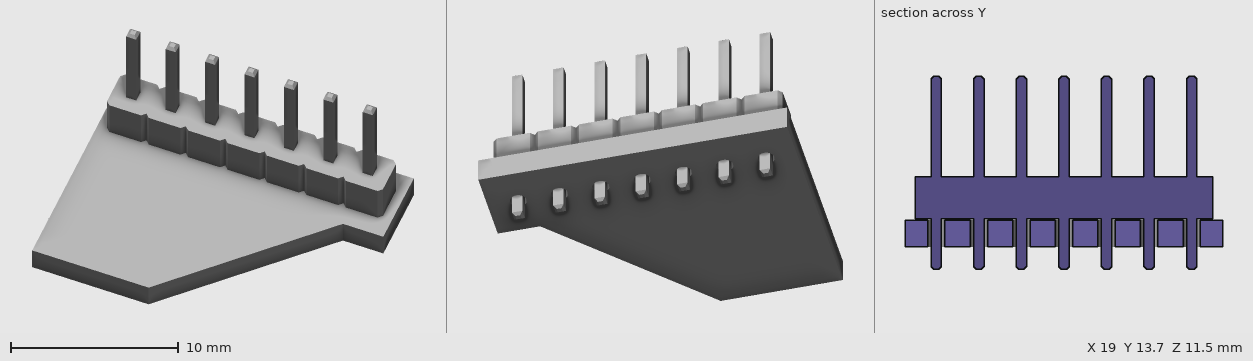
import cadquery as cq

board_length = 19.0
board_width = 13.7
board_thickness = 1.6
board_front_length = 7.5
board_right_width = 4.8
pin_hole_diameter = 1.0

pin_count = 7
header_length = 17.78
pitch = header_length / pin_count
header_height = 2.55
cell_chamfer = 0.25
header_gap = 0.05
header_back_offset = 2.35
pin_side = 0.65
pin_above = 5.98
pin_below = 3.0
pin_tip_chamfer = 0.17

row_y = board_width - header_back_offset
header_bottom = board_thickness + header_gap
pin_bottom = header_bottom - pin_below
pin_length = pin_below + header_height + pin_above
pin_points = [((i - (pin_count - 1) / 2) * pitch, row_y) for i in range(pin_count)]


def make_board():
    """Plate with the sloped corner and a row of round pin holes."""
    left = -board_length / 2
    right = board_length / 2
    front_end = left + board_front_length
    slope_end_y = board_width - board_right_width
    slope_end_x = front_end + slope_end_y

    outline = [
        (left, 0),
        (front_end, 0),
        (slope_end_x, slope_end_y),
        (right, slope_end_y),
        (right, board_width),
        (left, board_width),
    ]
    plate = cq.Workplane("XY").polyline(outline).close().extrude(board_thickness)
    holes = (
        cq.Workplane("XY")
        .pushPoints(pin_points)
        .circle(pin_hole_diameter / 2)
        .extrude(board_thickness)
    )
    return plate.cut(holes)


def make_cell(x, y):
    """Square plastic block with chamfered vertical edges."""
    return (
        cq.Workplane("XY", origin=(x, y, header_bottom))
        .rect(pitch, pitch)
        .extrude(header_height)
        .edges("|Z")
        .chamfer(cell_chamfer)
    )


def make_pin(x, y):
    """Square pin with a chamfered tip at both ends."""
    return (
        cq.Workplane("XY", origin=(x, y, pin_bottom))
        .rect(pin_side, pin_side)
        .extrude(pin_length)
        .faces("<Z or >Z")
        .edges()
        .chamfer(pin_tip_chamfer)
    )


def make_header():
    """Row of joined cells, each fused with its own pin."""
    header = cq.Workplane("XY")
    for x, y in pin_points:
        header = header.union(make_cell(x, y)).union(make_pin(x, y))
    return header.clean()


board = make_board()
header = make_header()

result = cq.Compound.makeCompound([board.val(), header.solids().val()])